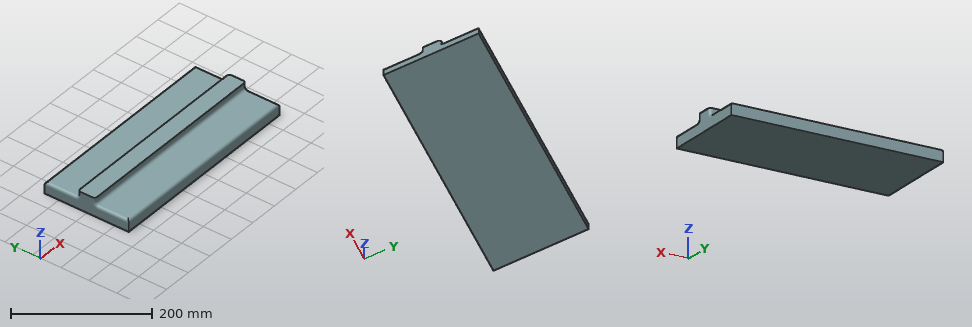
import cadquery as cq

length = 350.0
width = 150.0
total_height = 32.0

plate_thickness = 20.0
rib_width = 30.5
root_radius = 5.0
edge_radius = 5.0

rib_height = total_height - plate_thickness


def make_blank():
    """Plate with a full-length rib along its middle, bottom on Z = 0."""
    plate = cq.Workplane("XY").box(length, width, plate_thickness, centered=(True, True, False))
    rib = (
        cq.Workplane("XY")
        .workplane(offset=plate_thickness)
        .box(length, rib_width, rib_height, centered=(True, True, False))
    )
    return plate.union(rib)


def blend_rib_roots(body):
    """Fillet the two inside corners where the rib meets the plate."""
    roots = cq.selectors.BoxSelector(
        (-length, -rib_width, plate_thickness - root_radius / 2),
        (length, rib_width, plate_thickness + root_radius / 2),
    )
    return body.edges("|X").edges(roots).fillet(root_radius)


def round_outer_edges(body):
    """Round the plate rim and the rib ends in one continuous run."""
    between_bottom_and_top = cq.selectors.BoxSelector(
        (-length, -width, plate_thickness / 2 + edge_radius / 2),
        (length, width, total_height - edge_radius / 2),
    )
    end_edges = body.faces("<X or >X").edges(between_bottom_and_top)
    side_edges = body.faces("<Y or >Y").edges(">Z")
    return end_edges.add(side_edges).fillet(edge_radius)


result = round_outer_edges(blend_rib_roots(make_blank()))